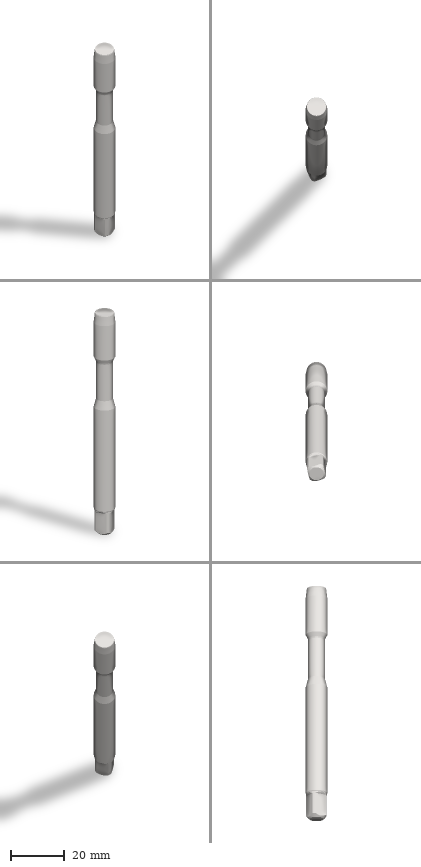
import cadquery as cq

lead_tip_dia = 7.0
lead_rim_dia = 7.3
head_dia = 8.1
cone_foot_dia = 6.5
neck_dia = 6.2
shank_dia = 8.0
drive_dia = 7.7
drive_end_dia = 5.3

length = 90.2
lead_rim_z = 89.8
lead_base_z = 86.2
head_bottom_z = 72.2
cone_foot_z = 70.5
neck_top_z = 70.0
neck_bottom_z = 55.0
shank_top_z = 51.6
shank_bottom_z = 10.1
drive_top_z = 9.7

across_flats = 6.2
flat_top_z = 9.0


def turned_body():
    """Revolved profile, listed as (diameter, height) from the drive end up."""
    drive_chamfer = (drive_dia - drive_end_dia) / 2
    steps = [
        (drive_end_dia, 0),
        (drive_dia, drive_chamfer),
        (drive_dia, drive_top_z),
        (shank_dia, shank_bottom_z),
        (shank_dia, shank_top_z),
        (neck_dia, neck_bottom_z),
        (neck_dia, neck_top_z),
        (cone_foot_dia, cone_foot_z),
        (head_dia, head_bottom_z),
        (head_dia, lead_base_z),
        (lead_rim_dia, lead_rim_z),
        (lead_tip_dia, length),
    ]
    outline = [(dia / 2, z) for dia, z in steps]
    return (
        cq.Workplane("XZ")
        .polyline([(0, 0)] + outline + [(0, length)])
        .close()
        .revolve(360, (0, 0), (0, 1))
    )


def flat_cutter():
    """Cutter for the +X flat, with a 45 degree run-out at its upper end."""
    flat_x = across_flats / 2
    outer_x = shank_dia
    run_out = outer_x - flat_x
    return (
        cq.Workplane("XZ")
        .polyline([
            (flat_x, 0),
            (outer_x, 0),
            (outer_x, flat_top_z + run_out),
            (flat_x, flat_top_z),
        ])
        .close()
        .extrude(shank_dia / 2, both=True)
    )


result = turned_body()
for angle in (0, 90, 180, 270):
    result = result.cut(flat_cutter().rotate((0, 0, 0), (0, 0, 1), angle))